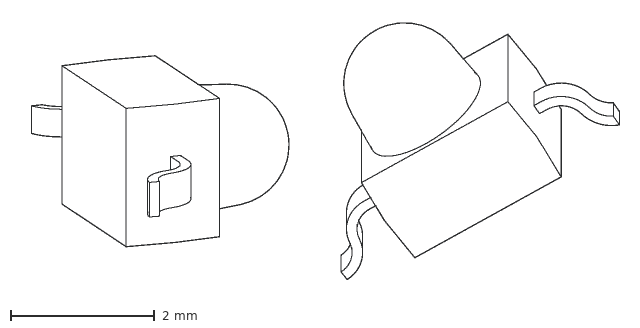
import cadquery as cq
import math


overall_length = 4.5
housing_height = 2.0
waist_width = 2.498
end_width = 2.405
housing_front_depth = 0.68
housing_back_depth = 0.72

lens_offset = 0.15
lens_base_radius = 0.9
lens_length = 1.4
lens_draft = math.radians(5)

lead_thickness = 0.15
upper_bend_radius = 0.45

left_lead_width = 0.4
left_flat = 0.12
left_reach = 2.095
left_lower_bend_radius = 0.495
left_tilt = math.radians(10)

right_lead_width = 0.5
right_reach = overall_length - left_reach
right_lower_bend_radius = 0.45
right_tilt = math.radians(7.8)
right_tip_angle = math.radians(4)

half_waist = waist_width / 2
half_thickness = lead_thickness / 2


def make_housing_block():
    half_end = end_width / 2
    outline = [
        (half_waist, 0),
        (half_end, housing_front_depth),
        (-half_end, housing_front_depth),
        (-half_waist, 0),
        (-half_end, -housing_back_depth),
        (half_end, -housing_back_depth),
    ]
    return cq.Workplane("XY").polyline(outline).close().extrude(housing_height / 2, both=True)


def make_lens():
    dome_radius = (lens_base_radius - lens_length * math.tan(lens_draft)) / (
        math.cos(lens_draft) - (1 - math.sin(lens_draft)) * math.tan(lens_draft)
    )
    dome_center = lens_length - dome_radius
    mid_angle = (lens_draft + math.pi / 2) / 2

    def dome_point(angle):
        return (dome_radius * math.cos(angle), dome_center + dome_radius * math.sin(angle))

    profile = (
        cq.Workplane("XY")
        .lineTo(lens_base_radius, 0)
        .lineTo(*dome_point(lens_draft))
        .threePointArc(dome_point(mid_angle), (0, lens_length))
        .close()
    )
    lens = profile.revolve(360, (0, 0, 0), (0, 1, 0))
    return lens.translate((lens_offset, housing_front_depth, 0))


def bend_run(lower_radius, tilt):
    """X distance between the centers of a lead's two bends."""
    return (upper_bend_radius + lower_radius) * math.cos(tilt)


def make_lead(flat_length, width, lower_radius, tilt, inside_tip_angle, outside_tip_angle):
    """Lead that leaves the housing toward +X; tip angles are measured from straight down."""
    flat_end = half_waist + flat_length
    bend_rise = (upper_bend_radius + lower_radius) * math.sin(tilt)
    upper_center = (flat_end, -upper_bend_radius)
    lower_center = (flat_end + bend_run(lower_radius, tilt), bend_rise - upper_bend_radius)
    upper_outer = upper_bend_radius + half_thickness
    upper_inner = upper_bend_radius - half_thickness
    lower_outer = lower_radius + half_thickness
    lower_inner = lower_radius - half_thickness

    def arc_point(center, radius, angle):
        return (center[0] + radius * math.cos(angle), center[1] + radius * math.sin(angle))

    upper_mid = (tilt + math.pi / 2) / 2
    lower_start = math.pi + tilt
    inside_tip = 1.5 * math.pi - inside_tip_angle
    outside_tip = 1.5 * math.pi - outside_tip_angle
    profile = (
        cq.Workplane("XY")
        .moveTo(half_waist, half_thickness)
        .lineTo(flat_end, half_thickness)
        .threePointArc(
            arc_point(upper_center, upper_outer, upper_mid),
            arc_point(upper_center, upper_outer, tilt),
        )
        .threePointArc(
            arc_point(lower_center, lower_inner, (lower_start + inside_tip) / 2),
            arc_point(lower_center, lower_inner, inside_tip),
        )
        .lineTo(*arc_point(lower_center, lower_outer, outside_tip))
        .threePointArc(
            arc_point(lower_center, lower_outer, (lower_start + outside_tip) / 2),
            arc_point(lower_center, lower_outer, lower_start),
        )
        .threePointArc(
            arc_point(upper_center, upper_inner, upper_mid),
            (flat_end, -half_thickness),
        )
        .lineTo(half_waist, -half_thickness)
        .close()
    )
    return profile.extrude(width / 2, both=True)


housing = make_housing_block().union(make_lens())

left_cut = half_waist + left_flat + bend_run(left_lower_bend_radius, left_tilt) - left_reach
left_lead = make_lead(
    left_flat,
    left_lead_width,
    left_lower_bend_radius,
    left_tilt,
    math.asin(left_cut / (left_lower_bend_radius - half_thickness)),
    math.asin(left_cut / (left_lower_bend_radius + half_thickness)),
).mirror("YZ")

right_tip_setback = (right_lower_bend_radius - half_thickness) * math.sin(right_tip_angle)
right_bend_reach = bend_run(right_lower_bend_radius, right_tilt) - right_tip_setback
right_lead = make_lead(
    right_reach - half_waist - right_bend_reach,
    right_lead_width,
    right_lower_bend_radius,
    right_tilt,
    right_tip_angle,
    right_tip_angle,
)

result = cq.Compound.makeCompound([housing.val(), left_lead.val(), right_lead.val()])